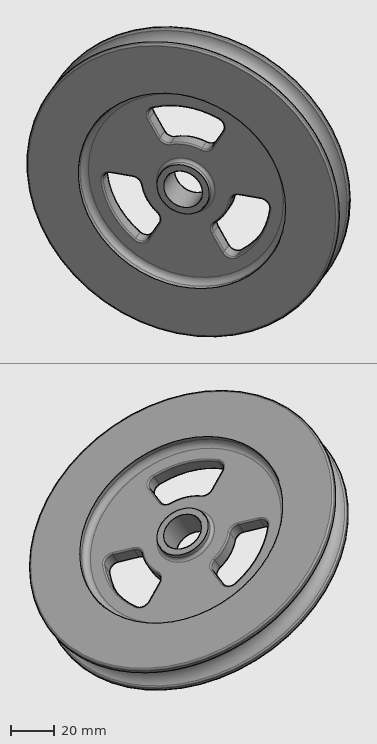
import cadquery as cq
import math


rim_radius = 76.2
rim_width = 18.3
rim_edge_fillet = 0.9

groove_radius = 6.1

recess_radius = 50.7
recess_fillet = 3.0
web_thickness = 7.6

hub_radius = 12.8
hub_width = 15.2
hub_base_fillet = 1.5
bore_radius = 9.5

window_count = 3
window_span = 60.0
window_inner_radius = 22.3
window_outer_radius = 41.1
window_side_inset = 0.3
window_corner_radius = 4.3
window_edge_fillet = 0.8


def make_wheel():
    """Rim, web and hub revolved from one section, drawn on the +Y side and mirrored."""
    rim_face = rim_width / 2
    hub_face = hub_width / 2
    web_face = web_thickness / 2
    blank = (
        cq.Workplane("XY")
        .moveTo(bore_radius, 0)
        .lineTo(bore_radius, hub_face)
        .lineTo(hub_radius, hub_face)
        .lineTo(hub_radius, web_face + hub_base_fillet)
        .tangentArcPoint((hub_radius + hub_base_fillet, web_face), relative=False)
        .lineTo(recess_radius - recess_fillet, web_face)
        .tangentArcPoint((recess_radius, web_face + recess_fillet), relative=False)
        .lineTo(recess_radius, rim_face)
        .lineTo(rim_radius, rim_face)
        .lineTo(rim_radius, 0)
        .mirrorX()
        .revolve(360, (0, 0, 0), (0, 1, 0))
    )
    groove = cq.Solid.makeTorus(rim_radius, groove_radius, cq.Vector(0, 0, 0), cq.Vector(0, 1, 0))
    outermost_edges = cq.selectors.RadiusNthSelector(-1)
    return blank.cut(groove).edges(outermost_edges).fillet(rim_edge_fillet)


def make_window():
    """Cutter for the window centred on +Z."""

    def side_point(radius):
        angle = math.radians(window_span / 2) - math.asin(window_side_inset / radius)
        return radius * math.sin(angle), radius * math.cos(angle)

    inner_x, inner_z = side_point(window_inner_radius)
    outer_x, outer_z = side_point(window_outer_radius)
    return (
        cq.Workplane("XZ")
        .moveTo(-inner_x, inner_z)
        .threePointArc((0, window_inner_radius), (inner_x, inner_z))
        .lineTo(outer_x, outer_z)
        .threePointArc((0, window_outer_radius), (-outer_x, outer_z))
        .close()
        .extrude(web_thickness / 2, both=True)
        .edges("|Y")
        .fillet(window_corner_radius)
    )


def is_window_edge(edge):
    """True for edges off the wheel axis that lie in either face of the web."""
    centre = edge.Center()
    off_axis = math.hypot(centre.x, centre.z) > hub_radius
    in_web_face = math.isclose(abs(centre.y), web_thickness / 2, abs_tol=0.002)
    return off_axis and in_web_face


def cut_windows(wheel):
    """Cut the equally spaced windows and round their edges on both web faces."""
    window = make_window()
    for index in range(window_count):
        wheel = wheel.cut(window.rotate((0, 0, 0), (0, 1, 0), index * 360 / window_count))
    return wheel.edges().filter(is_window_edge).fillet(window_edge_fillet)


result = cut_windows(make_wheel())